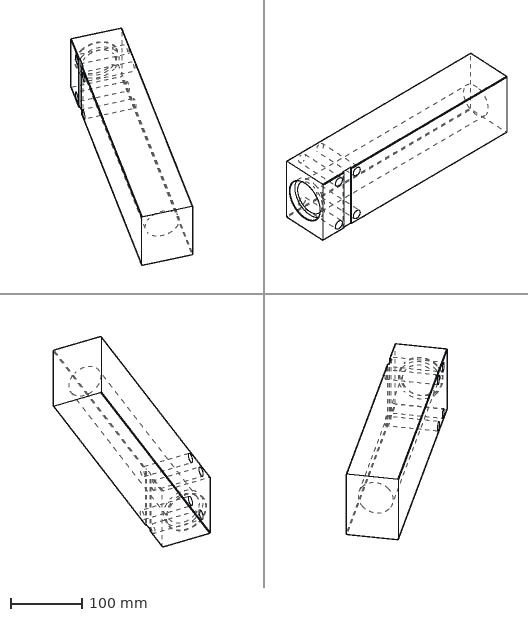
import cadquery as cq

length = 357.0
depth = 75.0
height = 100.0
edge_chamfer = 1.0

bore_diameter = 50.0
bore_end_wall = 25.0
counterbore_diameter = 61.5
counterbore_depth = 10.0
mouth_chamfer = 0.7

groove_center_x = 48.0
groove_width = 15.0
groove_depth = 2.0

hole_diameter = 13.5
hole_spacing_x = 34.5
hole_spacing_z = 76.5


def make_block():
    block = cq.Workplane("XY").box(length, depth, height, centered=(False, True, True))
    return block.edges("|X").chamfer(edge_chamfer)


def make_bore():
    """Revolved cutter: chamfered mouth, counterbore, then the blind bore."""
    bore_radius = bore_diameter / 2
    counterbore_radius = counterbore_diameter / 2
    bore_end_x = length - bore_end_wall
    return (
        cq.Workplane("XY")
        .lineTo(0, counterbore_radius + mouth_chamfer)
        .lineTo(mouth_chamfer, counterbore_radius)
        .lineTo(counterbore_depth, counterbore_radius)
        .lineTo(counterbore_depth, bore_radius)
        .lineTo(bore_end_x, bore_radius)
        .lineTo(bore_end_x, 0)
        .close()
        .revolve(360, (0, 0, 0), (1, 0, 0))
    )


def make_key_groove():
    cutter = cq.Workplane("XY").box(groove_width, 2 * groove_depth, height)
    return cutter.translate((groove_center_x, -depth / 2, 0))


def make_mounting_holes():
    return (
        cq.Workplane("XZ", origin=(groove_center_x, 0, 0))
        .rarray(hole_spacing_x, hole_spacing_z, 2, 2)
        .circle(hole_diameter / 2)
        .extrude(depth / 2, both=True)
    )


result = make_block().cut(make_bore()).cut(make_key_groove()).cut(make_mounting_holes())